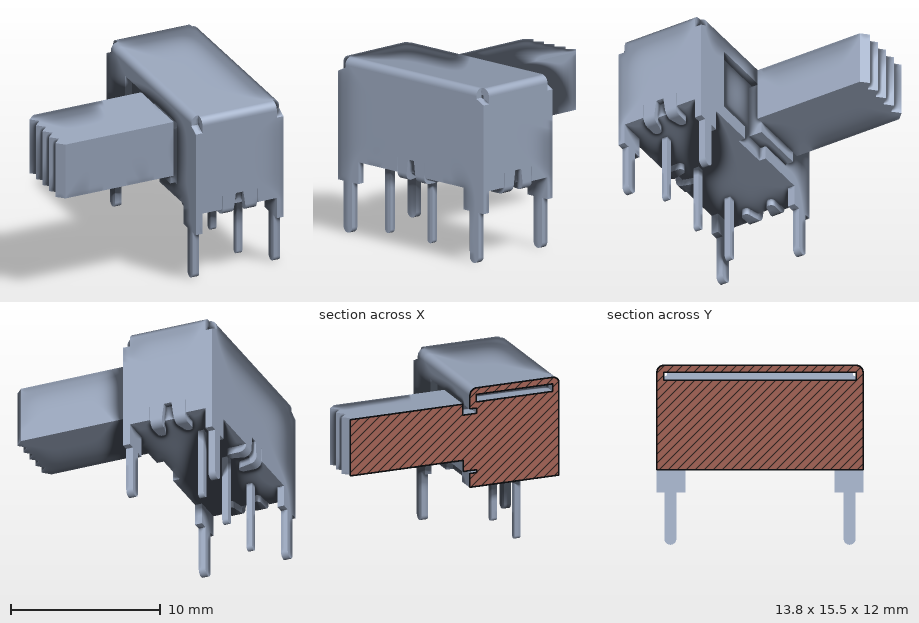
import cadquery as cq


cover_length = 13.8
cover_depth = 6.5
height = 12.0
sheet = 0.5
half_length = cover_length / 2
half_depth = cover_depth / 2
inner_length = cover_length - 2 * sheet
inner_depth = cover_depth - 2 * sheet
ceiling = height - sheet

corner_length = 0.7
corner_low = 10.97
corner_high = 11.32

base_bottom = 5.0
base_top = 6.01

wall_gap = 9.97
shoulder = 3.5
leg_width = 0.8
leg_spacing = 11.97

pin_width = 0.5
pin_thickness = 0.42
pin_spacing = 4.0
pin_y = 1.25

tab_edge = 1.27
tab_gap_top = 0.28
tab_gap_bend = 0.48
tab_gap_tip = 0.67
tab_straight_reach = 1.2
tab_recess_width = 2.64

block_top = 11.0
window_width = 8.0
window_top = 10.54
lever_x = window_width / 4
neck_width = window_width / 2
neck_bottom = 6.18
neck_height = 4.01
neck_length = 0.5
lever_width = 5.0
lever_bottom = 6.98
lever_height = 4.0
lever_reach = 15.5 - cover_depth
tooth_count = 5
tooth_pitch = lever_width / tooth_count
tooth_depth = tooth_pitch / 2


def block(length, depth, bottom, top, x=0, y=0):
    """Box centred on (x, y) between two heights."""
    return cq.Workplane("XY", origin=(x, y, bottom)).rect(length, depth).extrude(top - bottom)


def corner_notch(side, y_start):
    """Cutter that opens one top corner of the cover, with a sloping floor."""
    outer_x = side * half_length
    inner_x = side * (half_length - corner_length)
    floor = [(outer_x, corner_low), (inner_x, corner_high)]
    profile = floor + [(inner_x, height), (outer_x, height)]
    return cq.Workplane("XZ", origin=(0, y_start, 0)).polyline(profile).close().extrude(-sheet)


def round_ended_post(width, thickness, top, x, y):
    """Flat post from Z = 0 with a full round at its lower end."""
    radius = width / 2
    return (
        cq.Workplane("XZ", origin=(x, y - thickness / 2, 0))
        .moveTo(-radius, top)
        .lineTo(-radius, radius)
        .threePointArc((0, 0), (radius, radius))
        .lineTo(radius, top)
        .close()
        .extrude(-thickness)
    )


def make_cover():
    cover = block(cover_length, cover_depth, base_top, height).faces(">Z").edges().fillet(sheet)
    for side in (-1, 1):
        for y_start in (-half_depth, half_depth - sheet):
            cover = cover.cut(corner_notch(side, y_start))
    cover = cover.cut(block(inner_length, inner_depth, base_top, ceiling))
    return cover.cut(block(window_width, sheet, base_top, window_top, y=sheet / 2 - half_depth))


def make_legs():
    shoulder_width = (cover_length - wall_gap) / 2
    shoulder_x = half_length - shoulder_width / 2
    legs = cq.Workplane()
    for side in (-1, 1):
        for y in (sheet / 2 - half_depth, half_depth - sheet / 2):
            legs = legs.add(block(shoulder_width, sheet, shoulder, base_top, side * shoulder_x, y))
            legs = legs.add(round_ended_post(leg_width, sheet, shoulder, side * leg_spacing / 2, y))
    return legs.combine()


def make_base():
    base = block(cover_length, inner_depth, base_bottom, base_top)
    base = base.union(block(wall_gap, cover_depth, base_bottom, base_top))
    for side in (-1, 1):
        end_x = side * (half_length - sheet / 2)
        edge_y = side * (half_depth - sheet / 2)
        base = base.cut(block(sheet, tab_recess_width, base_bottom, base_top, x=end_x))
        base = base.cut(block(tab_recess_width, sheet, base_bottom, base_top, y=edge_y))
    for x in (-pin_spacing, 0, pin_spacing):
        base = base.union(round_ended_post(pin_width, pin_thickness, base_bottom, x, pin_y))
    return base.union(block(inner_length, inner_depth, base_top, block_top))


def tab_pair(wall_face, angle):
    """Two tabs running down from a wall and curling inward under the base.

    Shaped on a wall whose outer face is at +Y, then turned about Z."""
    tab_bottom = base_bottom - sheet
    upright_profile = [
        (tab_gap_top, base_top),
        (tab_gap_bend, tab_bottom),
        (tab_edge, tab_bottom),
        (tab_edge, base_top),
    ]
    upright = (
        cq.Workplane("XZ", origin=(0, wall_face, 0))
        .polyline(upright_profile)
        .close()
        .extrude(sheet)
    )
    bend = (
        cq.Workplane("YZ")
        .moveTo(wall_face, base_top)
        .lineTo(wall_face, base_bottom)
        .radiusArc((wall_face - sheet, tab_bottom), sheet)
        .lineTo(wall_face - sheet, base_top)
        .close()
        .extrude(tab_edge)
    )
    tip_y = wall_face - tab_straight_reach
    tip_radius = (tab_edge - tab_gap_tip) / 2
    foot = (
        cq.Workplane("XY", origin=(0, 0, tab_bottom))
        .moveTo(tab_gap_bend, wall_face - sheet)
        .lineTo(tab_gap_tip, tip_y)
        .threePointArc((tab_gap_tip + tip_radius, tip_y - tip_radius), (tab_edge, tip_y))
        .lineTo(tab_edge, wall_face - sheet)
        .close()
        .extrude(sheet)
    )
    tab = upright.intersect(bend).union(foot)
    pair = tab.union(tab.mirror("YZ"))
    return pair.rotate((0, 0, 0), (0, 0, 1), angle)


def make_lever():
    neck_y = -half_depth - neck_length
    neck_depth = neck_length + sheet
    neck_top = neck_bottom + neck_height
    neck = block(neck_width, neck_depth, neck_bottom, neck_top, lever_x, neck_y + neck_depth / 2)
    left = lever_x - lever_width / 2
    tip_y = -half_depth - lever_reach
    root_y = tip_y + tooth_depth
    outline = [(left + lever_width, neck_y), (left, neck_y), (left, root_y)]
    for tooth in range(tooth_count):
        tooth_start = left + tooth * tooth_pitch
        outline.append((tooth_start + tooth_pitch / 2, tip_y))
        outline.append((tooth_start + tooth_pitch, root_y))
    grip = cq.Workplane("XY", origin=(0, 0, lever_bottom)).polyline(outline).close().extrude(lever_height)
    return neck.union(grip)


result = make_cover().union(make_legs()).union(make_base()).union(make_lever())
for wall_face, angle in ((half_depth, 0), (half_length, 90), (half_length, -90)):
    result = result.union(tab_pair(wall_face, angle))